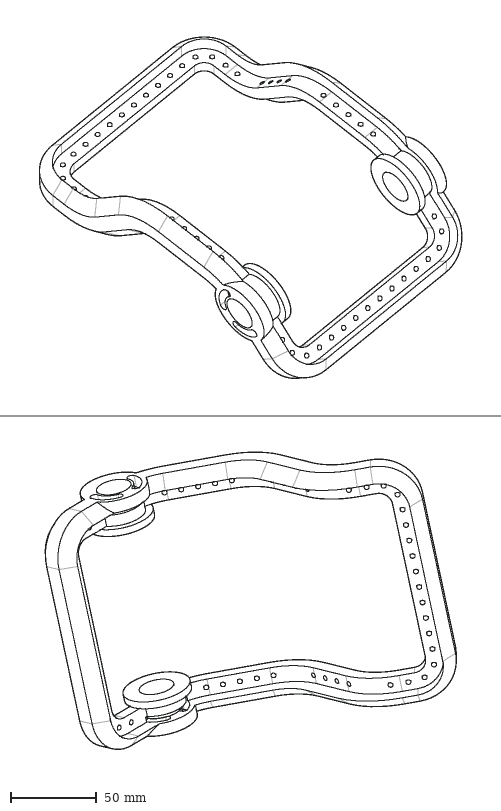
import cadquery as cq
import math

frame_length = 223.4
frame_width = 152.0
rail_height = 26.5
rim_height = 10.5
bevel_depth = 7.5
flange_width = 10.3
flange_thickness = 8.0

corner_inner_radius = 8.0
corner_radius = corner_inner_radius + flange_width / 2
corner_outer_radius = corner_inner_radius + flange_width + bevel_depth
half_bar = frame_width / 2 - corner_outer_radius
bend_radius = 40.0
climb_angle = 46.0
climb_height = 44.5
plateau_length = 37.0
descent_angle = 45.0
hub_offset = 1.1
descent_length = 33.5

disc_diameter = 40.0
bore_diameter = 20.5
core_diameter = 30.8
inner_disc_thickness = 4.5

neck_diameter = 24.5
relief_depth = (core_diameter - neck_diameter) / 2
relief_middle = 230.0
relief_wide_angle = 160.0
relief_narrow_angle = 142.0

slot_inner_radius = 11.8
slot_outer_radius = 16.8
slot_sweep = 86.0
slot_gap = 36.0

hole_diameter = 3.0
hole_pitch = 10.0
front_hole_count = 9
end_hole_count = 8
climb_hole_count = 4
plateau_hole_count = 5

climb_rad = math.radians(climb_angle)
climb_length = (climb_height - 2 * bend_radius * (1 - math.cos(climb_rad))) / math.sin(climb_rad)
climb_run = 2 * bend_radius * math.sin(climb_rad) + climb_length * math.cos(climb_rad)

descent_rad = math.radians(descent_angle)
descent_run = (
    bend_radius * math.sin(descent_rad)
    + (descent_length + corner_radius + flange_width / 2) * math.cos(descent_rad)
    + rail_height / 2 * math.sin(descent_rad)
)
front_straight = frame_length - corner_outer_radius - climb_run - plateau_length - descent_run

path = [
    ("straight", half_bar),
    ("inward", 90.0),
    ("straight", front_straight),
    ("up", climb_angle),
    ("straight", climb_length),
    ("down", climb_angle),
    ("straight", plateau_length),
    ("down", descent_angle),
    ("straight", descent_length),
    ("inward", 90.0),
    ("straight", half_bar),
]
CLIMB, PLATEAU, DESCENT = 4, 6, 8


def piece_length(kind, amount):
    """Length of a path piece along the flange centre line."""
    if kind == "straight":
        return amount
    radius = corner_radius if kind == "inward" else bend_radius
    return radius * math.radians(amount)


def advance(frame, kind, distance):
    """Move a section frame (x inward, y up, z ahead) along a path piece."""
    if kind == "straight":
        return cq.Plane(frame.origin + frame.zDir * distance, frame.xDir, frame.zDir)
    radius = corner_radius if kind == "inward" else bend_radius
    toward = {"inward": frame.xDir, "up": frame.yDir, "down": frame.yDir * -1}[kind]
    angle = distance / radius
    origin = frame.origin + frame.zDir * (radius * math.sin(angle)) + toward * (radius * (1 - math.cos(angle)))
    ahead = frame.zDir * math.cos(angle) + toward * math.sin(angle)
    inward = frame.xDir
    if kind == "inward":
        inward = frame.xDir * math.cos(angle) - frame.zDir * math.sin(angle)
    return cq.Plane(origin, inward, ahead)


def frame_at(distance):
    """Section frame at a distance along the whole path."""
    for frame, (kind, amount) in zip(frames, path):
        length = piece_length(kind, amount)
        if distance <= length:
            break
        distance -= length
    return advance(frame, kind, distance)


def section(frame):
    """Closed outline of the rail: a bevelled outer wall with a flange on its inner side."""
    edge = flange_width / 2
    rim = -edge - bevel_depth
    return cq.Workplane(frame).polyline([
        (rim, -rim_height / 2),
        (-edge, -rail_height / 2),
        (-edge, -flange_thickness / 2),
        (edge, -flange_thickness / 2),
        (edge, flange_thickness / 2),
        (-edge, flange_thickness / 2),
        (-edge, rail_height / 2),
        (rim, rim_height / 2),
    ]).close()


def rail_piece(frame, kind, amount):
    """Solid rail along one path piece."""
    outline = section(frame)
    if kind == "straight":
        return outline.extrude(amount)
    if kind == "inward":
        return outline.revolve(amount, (corner_radius, 0), (corner_radius, 1))
    if kind == "up":
        return outline.revolve(amount, (0, bend_radius), (-1, bend_radius))
    return outline.revolve(amount, (0, -bend_radius), (1, -bend_radius))


def hole(distance):
    """Cutter for one hole square through the flange."""
    frame = frame_at(distance)
    drill = cq.Plane(frame.origin, frame.xDir, frame.yDir)
    return cq.Workplane(drill).circle(hole_diameter / 2).extrude(rail_height / 2, both=True)


def centred_row(piece, count):
    """Path distances of a row of holes centred on a path piece."""
    middle = starts[piece] + piece_length(*path[piece]) / 2
    return [middle + (i - (count - 1) / 2) * hole_pitch for i in range(count)]


def polar(radius, angle):
    """Point at a radius and an angle in degrees."""
    return (radius * math.cos(math.radians(angle)), radius * math.sin(math.radians(angle)))


def slot(plane, start):
    """Cutter for a curved slot with round ends, through the outer disc."""
    middle_radius = (slot_inner_radius + slot_outer_radius) / 2
    end_radius = (slot_outer_radius - slot_inner_radius) / 2
    end_angle = math.degrees(end_radius / middle_radius)
    a = start + end_angle
    b = start + slot_sweep - end_angle
    return (
        cq.Workplane(plane)
        .moveTo(*polar(slot_outer_radius, a))
        .threePointArc(polar(slot_outer_radius, (a + b) / 2), polar(slot_outer_radius, b))
        .threePointArc(polar(middle_radius, b + end_angle), polar(slot_inner_radius, b))
        .threePointArc(polar(slot_inner_radius, (a + b) / 2), polar(slot_inner_radius, a))
        .threePointArc(polar(middle_radius, a - end_angle), polar(slot_outer_radius, a))
        .close()
        .extrude(-bevel_depth)
    )


def pie(workplane, sweep):
    """Sector outline about the hub axis, centred on the relief direction."""
    first = relief_middle - sweep / 2
    return (
        workplane
        .lineTo(*polar(slot_outer_radius, first))
        .threePointArc(polar(slot_outer_radius, relief_middle), polar(slot_outer_radius, first + sweep))
        .close()
    )


def relief():
    """Cutter for the sector of the core next to the outer disc; it narrows with depth."""
    narrow = pie(relief_floor, relief_narrow_angle)
    return pie(narrow.workplane(offset=relief_depth), relief_wide_angle).loft(ruled=True)


def tapered_core():
    """Cone that fills the middle of the relief, with its small end at the outer disc."""
    cone = cq.Solid.makeCone(
        core_diameter / 2, neck_diameter / 2, relief_depth,
        relief_floor.plane.origin, relief_floor.plane.zDir,
    )
    return cq.Workplane(cone)


frames = [cq.Plane((0, 0, 0), (1, 0, 0), (0, -1, 0))]
starts = [0.0]
for piece in path:
    frames.append(advance(frames[-1], piece[0], piece_length(*piece)))
    starts.append(starts[-1] + piece_length(*piece))

half = rail_piece(frames[0], *path[0])
for frame, piece in zip(frames[1:], path[1:]):
    half = half.union(rail_piece(frame, *piece))

hub_frame = frame_at(starts[DESCENT] + hub_offset)
hub_plane = cq.Plane((hub_frame.origin.x, -frame_width / 2, hub_frame.origin.z), (1, 0, 0), (0, -1, 0))
core_plane = cq.Workplane(hub_plane).workplane(offset=-bevel_depth)
relief_floor = core_plane.workplane(offset=-relief_depth)
inner_plane = core_plane.workplane(offset=-flange_width)
outer_disc = cq.Workplane(hub_plane).circle(disc_diameter / 2).extrude(-bevel_depth)
core = core_plane.circle(core_diameter / 2).extrude(-flange_width)
inner_disc = inner_plane.circle(disc_diameter / 2).extrude(-inner_disc_thickness)

half = half.union(outer_disc).union(core).union(inner_disc)
half = half.cut(relief()).union(tapered_core())
half = half.cut(cq.Workplane(hub_plane).circle(bore_diameter / 2).extrude(-frame_width / 2))
for start in (relief_middle - slot_gap / 2 - slot_sweep, relief_middle + slot_gap / 2):
    half = half.cut(slot(hub_plane, start))

hole_distances = [(i + 0.5) * hole_pitch for i in range(front_hole_count)]
hole_distances += [starts[-1] - (i + 0.5) * hole_pitch for i in range(end_hole_count)]
hole_distances += centred_row(CLIMB, climb_hole_count)
hole_distances += centred_row(PLATEAU, plateau_hole_count)
for distance in hole_distances:
    half = half.cut(hole(distance))

result = half.union(half.mirror("XZ"))